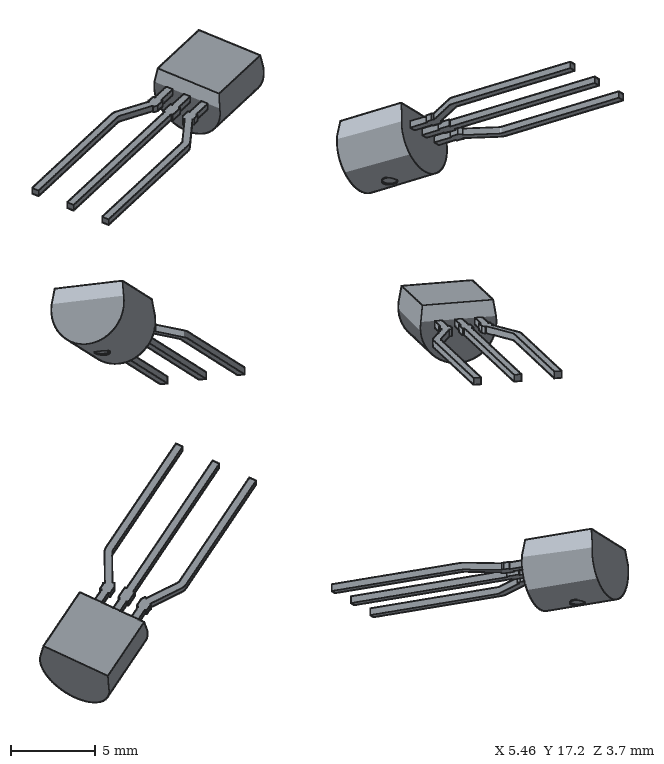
import cadquery as cq
import math

TOTAL_LENGTH = 17.2
BODY_LENGTH = 4.7
LEAD_LENGTH = TOTAL_LENGTH - BODY_LENGTH

BODY_RADIUS = 2.35
TOP_HEIGHT = 0.98
BOTTOM_DEPTH = 2.72
ROUND_CENTER_Z = BODY_RADIUS - BOTTOM_DEPTH
PARTING_HALF_WIDTH = math.sqrt(BODY_RADIUS**2 - ROUND_CENTER_Z**2)
TOP_INSET = 0.14
MARK_DIAMETER = 0.93
MARK_DEPTH = 0.1
MARK_Y = 2.51

LEAD_WIDTH = 0.46
LEAD_THICKNESS = 0.43
LEAD_PITCH = 2.5
ROOT_PITCH = LEAD_PITCH / 2
BEND_ANGLE = math.radians(30)
FIRST_BEND = 1.7
SECOND_BEND = FIRST_BEND + (LEAD_PITCH - ROOT_PITCH) / math.tan(BEND_ANGLE)
BEND_OUTER_RADIUS = 0.77
BEND_INNER_RADIUS = BEND_OUTER_RADIUS - LEAD_WIDTH

COLLAR_WIDTH = 0.69
COLLAR_START = 1.24
COLLAR_LENGTH = 0.8
COLLAR_PAST_BEND = 0.19


def make_housing():
    """D-shaped housing with a tapered flat top and a round mark underneath."""
    lower = (
        cq.Workplane("XZ")
        .moveTo(-PARTING_HALF_WIDTH, 0)
        .threePointArc((0, -BOTTOM_DEPTH), (PARTING_HALF_WIDTH, 0))
        .close()
        .extrude(-BODY_LENGTH)
    )
    upper = (
        cq.Workplane("XY")
        .center(0, BODY_LENGTH / 2)
        .rect(2 * PARTING_HALF_WIDTH, BODY_LENGTH)
        .workplane(offset=TOP_HEIGHT)
        .rect(2 * (PARTING_HALF_WIDTH - TOP_INSET), BODY_LENGTH - 2 * TOP_INSET)
        .loft(ruled=True)
    )
    mark = (
        cq.Workplane("XY")
        .workplane(offset=-BOTTOM_DEPTH)
        .center(0, MARK_Y)
        .circle(MARK_DIAMETER / 2)
        .extrude(MARK_DEPTH)
    )
    return lower.union(upper).cut(mark)


def flat_strip(outline):
    """Closed XY outline given lead thickness below the parting plane."""
    return cq.Workplane("XY").polyline(outline).close().extrude(-LEAD_THICKNESS)


def straight_strip(width, start, end):
    """Straight strip on X = 0 between two distances in front of the housing."""
    half = width / 2
    return flat_strip([(-half, -start), (half, -start), (half, -end), (-half, -end)])


def make_center_lead():
    """Straight lead with its collar."""
    collar = straight_strip(COLLAR_WIDTH, COLLAR_START, COLLAR_START + COLLAR_LENGTH)
    return straight_strip(LEAD_WIDTH, 0, LEAD_LENGTH).union(collar)


def miter_point(x, distance, offset):
    """Corner of a bend at a sideways offset from the lead's center line (+ is outward)."""
    return (x + offset, -distance + offset * math.tan(BEND_ANGLE / 2))


def make_bent_collar():
    """Collar that follows the first bend and ends square to the slanted run."""
    half = COLLAR_WIDTH / 2
    end_x = ROOT_PITCH + COLLAR_PAST_BEND * math.sin(BEND_ANGLE)
    end_y = -FIRST_BEND - COLLAR_PAST_BEND * math.cos(BEND_ANGLE)
    side_x = half * math.cos(BEND_ANGLE)
    side_y = half * math.sin(BEND_ANGLE)
    return flat_strip([
        (ROOT_PITCH - half, -COLLAR_START),
        miter_point(ROOT_PITCH, FIRST_BEND, -half),
        (end_x - side_x, end_y - side_y),
        (end_x + side_x, end_y + side_y),
        miter_point(ROOT_PITCH, FIRST_BEND, half),
        (ROOT_PITCH + half, -COLLAR_START),
    ])


def make_outer_lead(side):
    """Lead that spreads outward to the full pitch; side is +1 for +X, -1 for -X."""
    half = LEAD_WIDTH / 2
    outer_bend = miter_point(LEAD_PITCH, SECOND_BEND, half)
    inner_bend = miter_point(LEAD_PITCH, SECOND_BEND, -half)
    lead = flat_strip([
        (ROOT_PITCH - half, 0),
        miter_point(ROOT_PITCH, FIRST_BEND, -half),
        inner_bend,
        (LEAD_PITCH - half, -LEAD_LENGTH),
        (LEAD_PITCH + half, -LEAD_LENGTH),
        outer_bend,
        miter_point(ROOT_PITCH, FIRST_BEND, half),
        (ROOT_PITCH + half, 0),
    ])
    for corner, radius in ((outer_bend, BEND_OUTER_RADIUS), (inner_bend, BEND_INNER_RADIUS)):
        corner_edge = cq.selectors.NearestToPointSelector((*corner, -LEAD_THICKNESS / 2))
        lead = lead.edges("|Z").edges(corner_edge).fillet(radius)
    lead = lead.union(make_bent_collar())
    return lead if side > 0 else lead.mirror("YZ")


housing = make_housing()
center_lead = make_center_lead()
outer_leads = [make_outer_lead(side) for side in (-1, 1)]

result = cq.Compound.makeCompound([
    housing.val(),
    center_lead.val(),
    *[lead.val() for lead in outer_leads],
])